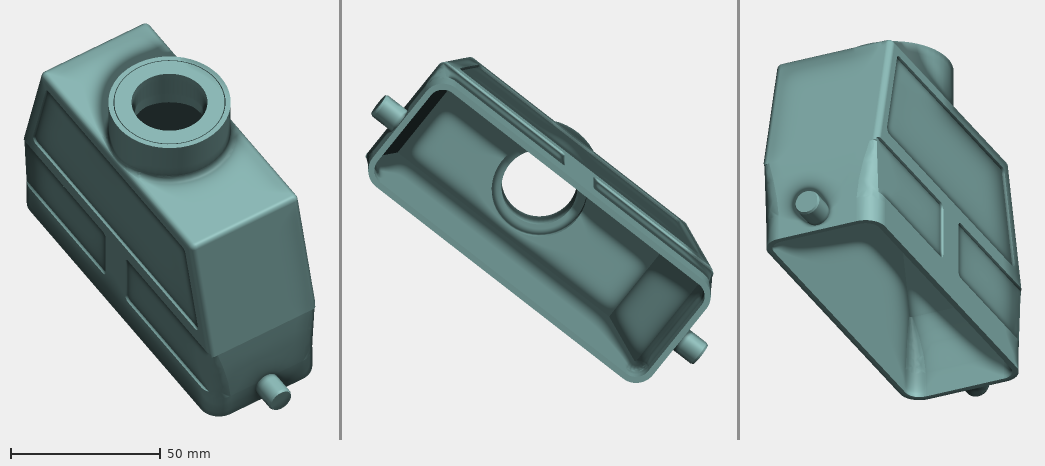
import cadquery as cq
import math

LENGTH = 137.5
DEPTH = 43.0
HEIGHT = 92.0

BASE_LENGTH = 119.6
SHOULDER_LENGTH = 116.7
ROOF_LENGTH = 93.4
BASE_TOP_Z = 9.1
SHOULDER_Z = 30.8
ROOF_Z = 75.9
BASE_CORNER_RADIUS = 7.2
SHOULDER_CORNER_RADIUS = 3.0
EDGE_RADIUS = 2.0
CORNER_TAPER_POWER = 1.5
LOFT_STEPS = 4
WALL = 2.0

PANEL_SINK = 0.8
PANEL_WALL_FLARE = 0.4
PANEL_CORNER_RADIUS = 1.5
PANEL_SIDE_MARGIN = 5.6
UPPER_PANEL_BOTTOM_Z = 37.7
UPPER_PANEL_TOP_Z = 70.8
LOWER_PANEL_BOTTOM_Z = 11.7
LOWER_PANEL_TOP_Z = 31.9
LOWER_PANEL_GAP = 12.9

NECK_DIAMETER = 41.0
NECK_FILLET = 2.0
SEAT_DIAMETER = 37.5
SEAT_DEPTH = 13.8
THROAT_DIAMETER = 32.0
INSERT_DIAMETER = 37.0
INSERT_BORE_DIAMETER = 25.5

PIN_DIAMETER = 8.8
PIN_TIP_DIAMETER = 8.0
PIN_TIP_LENGTH = 0.8
PIN_Z = 6.3

SEAT_Z = HEIGHT - SEAT_DEPTH
END_SLOPE = (SHOULDER_LENGTH - ROOF_LENGTH) / 2 / (ROOF_Z - SHOULDER_Z)


def end_x(z):
    """Distance from the centre to the sloped end face at height z."""
    return SHOULDER_LENGTH / 2 - END_SLOPE * (z - SHOULDER_Z)


def rounded_rectangle(length, depth, radius):
    return cq.Sketch().rect(length, depth).vertices().fillet(radius)


def upright_cylinder(diameter, bottom_z):
    """Cylinder on the neck axis, from bottom_z up to the rim."""
    return cq.Workplane("XY").workplane(offset=bottom_z).circle(diameter / 2).extrude(HEIGHT - bottom_z)


def lower_body(inset):
    """Straight base band, then a bulged part whose corners tighten up to the shoulder."""
    depth = DEPTH - 2 * inset
    corner_radius = BASE_CORNER_RADIUS - inset
    shoulder_radius = SHOULDER_CORNER_RADIUS - inset
    base_outline = rounded_rectangle(BASE_LENGTH - 2 * inset, depth, corner_radius)
    band = cq.Workplane("XY").placeSketch(base_outline).extrude(BASE_TOP_Z)

    sections = []
    for step in range(LOFT_STEPS + 1):
        rise = step / LOFT_STEPS
        z = BASE_TOP_Z + rise * (SHOULDER_Z - BASE_TOP_Z)
        length = BASE_LENGTH - (BASE_LENGTH - SHOULDER_LENGTH) * rise**2 - 2 * inset
        radius = corner_radius - (corner_radius - shoulder_radius) * rise**CORNER_TAPER_POWER
        sections.append(rounded_rectangle(length, depth, radius).moved(cq.Location(cq.Vector(0, 0, z))))
    bulge = cq.Workplane("XY").placeSketch(*sections).loft()
    return band.union(bulge)


def upper_body(inset):
    """Trapezoid between shoulder and roof."""
    roof_z = ROOF_Z - inset
    shoulder_x = end_x(SHOULDER_Z) - inset
    roof_x = end_x(roof_z) - inset
    return (
        cq.Workplane("XZ")
        .polyline([(-shoulder_x, SHOULDER_Z), (shoulder_x, SHOULDER_Z), (roof_x, roof_z), (-roof_x, roof_z)])
        .close()
        .extrude(DEPTH / 2 - inset, both=True)
    )


def hood_outside():
    """Solid outer form: both body parts, the neck and the fillet at its foot."""
    rounded_top = upper_body(0).edges("not <Z").fillet(EDGE_RADIUS)
    neck = upright_cylinder(NECK_DIAMETER, SHOULDER_Z)
    outside = lower_body(0).union(rounded_top).union(neck)
    reach = NECK_DIAMETER / 2 + NECK_FILLET / 2
    neck_foot = cq.selectors.BoxSelector(
        (-reach, -DEPTH / 2, ROOF_Z - EDGE_RADIUS), (reach, DEPTH / 2, ROOF_Z + EDGE_RADIUS)
    )
    return outside.edges(neck_foot).edges("not %LINE").fillet(NECK_FILLET)


def hood_inside():
    """Cavity open at the bottom, the throat above it and the seat for the insert."""
    cavity = lower_body(WALL).union(upper_body(WALL))
    throat = upright_cylinder(THROAT_DIAMETER, SHOULDER_Z)
    seat = upright_cylinder(SEAT_DIAMETER, SEAT_Z)
    return cavity.union(throat).union(seat)


def upper_panel_floor():
    """Rounded trapezoid parallel to the sloped ends."""
    bottom_x = end_x(UPPER_PANEL_BOTTOM_Z) - PANEL_SIDE_MARGIN
    top_x = end_x(UPPER_PANEL_TOP_Z) - PANEL_SIDE_MARGIN
    corners = [
        (-bottom_x, UPPER_PANEL_BOTTOM_Z),
        (bottom_x, UPPER_PANEL_BOTTOM_Z),
        (top_x, UPPER_PANEL_TOP_Z),
        (-top_x, UPPER_PANEL_TOP_Z),
    ]
    return cq.Sketch().polygon([*corners, corners[0]]).vertices().fillet(PANEL_CORNER_RADIUS)


def lower_panel_floor(side):
    """Rounded rectangle that runs out past the end on the given side (-1 or 1)."""
    length = BASE_LENGTH / 2
    height = LOWER_PANEL_TOP_Z - LOWER_PANEL_BOTTOM_Z
    centre = cq.Vector(
        side * (LOWER_PANEL_GAP + length) / 2,
        (LOWER_PANEL_BOTTOM_Z + LOWER_PANEL_TOP_Z) / 2,
    )
    return rounded_rectangle(length, height, PANEL_CORNER_RADIUS).moved(cq.Location(centre))


def panel_recesses():
    """Recesses whose walls flare from the sunk floors out to the front and back faces."""
    floor_y = DEPTH / 2 - PANEL_SINK
    flare_angle = math.degrees(math.atan2(PANEL_WALL_FLARE, PANEL_SINK))
    recesses = cq.Workplane("XY")
    for floor in (upper_panel_floor(), lower_panel_floor(-1), lower_panel_floor(1)):
        front = cq.Workplane("XZ", origin=(0, -floor_y, 0)).placeSketch(floor).extrude(
            PANEL_SINK, taper=-flare_angle
        )
        recesses = recesses.add(front).add(front.mirror("XZ"))
    return recesses.combine()


def locking_pin(side):
    """Pin standing out of the end wall on the given side (-1 or 1)."""
    root_x = BASE_LENGTH / 2 - WALL
    return (
        cq.Workplane("YZ", origin=(side * root_x, 0, PIN_Z))
        .circle(PIN_DIAMETER / 2)
        .extrude(side * (LENGTH / 2 - root_x))
        .faces(">X" if side > 0 else "<X")
        .chamfer(PIN_TIP_LENGTH, (PIN_DIAMETER - PIN_TIP_DIAMETER) / 2)
    )


def make_hood():
    hood = hood_outside().cut(hood_inside()).cut(panel_recesses())
    for side in (-1, 1):
        hood = hood.union(locking_pin(side))
    return hood


def make_insert():
    """Ring resting on the seat, flush with the rim of the neck."""
    ring = upright_cylinder(INSERT_DIAMETER, SEAT_Z)
    return ring.cut(upright_cylinder(INSERT_BORE_DIAMETER, SEAT_Z))


hood = make_hood()
insert = make_insert()

result = cq.Compound.makeCompound([hood.solids().val(), insert.solids().val()])